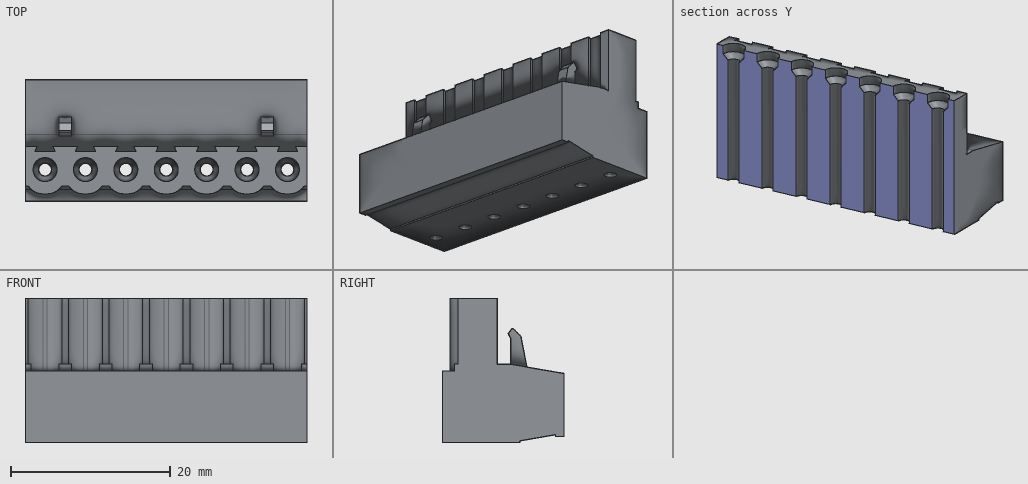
import cadquery as cq
import math


length = 35.45
depth = 15.3
height = 18.15

pole_count = 7
end_margin = 2.48
pitch = (length - 2 * end_margin) / (pole_count - 1)
pole_centers = [end_margin + i * pitch for i in range(pole_count)]

front_ledge_z = 9.05
rear_ledge_z = 9.9
slope_start_y = 8.45
back_top_z = 8.72
heel_bottom_z = 0.78
heel_y = 14.2
recess_back_z = 1.0
recess_front_y = 9.75
recess_front_z = 0.2

tower_back_y = 6.9
crest_y = 0.95
crest_flat = 0.53
valley_y = 1.95
valley_flat = 0.85

strip_front_y = 1.52

slot_mouth = 2.02
slot_floor = 2.55
slot_depth = 0.65

hole_y = 4.0
socket_diameter = 3.0
socket_depth = 1.15
bore_diameter = 1.6
cone_depth = 0.7

hook_width = 1.55
hook_front_y = 8.58
hook_root_y = 10.7
hook_root_z = 9.2
hook_shoulder = (9.9, 13.35)
hook_peak_back = (8.9, 14.35)
hook_peak_front = (8.75, 14.35)
hook_barb = (8.25, 13.72)
hook_neck_z = 13.15


def make_base():
    """Side profile of the base, extruded along the row."""
    profile = [
        (0, 0),
        (recess_front_y, 0),
        (recess_front_y, recess_front_z),
        (heel_y, recess_back_z),
        (heel_y, heel_bottom_z),
        (depth, heel_bottom_z),
        (depth, back_top_z),
        (slope_start_y, rear_ledge_z),
        (tower_back_y, rear_ledge_z),
        (tower_back_y, front_ledge_z),
        (0, front_ledge_z),
    ]
    return cq.Workplane("YZ").polyline(profile).close().extrude(length)


def make_tower():
    """Scalloped block: flat crests joined by arcs to the flats of the valleys."""
    half_flat = crest_flat / 2
    run = (pitch - valley_flat - crest_flat) / 2
    drop = valley_y - crest_y
    radius = (run**2 + drop**2) / (2 * drop)
    half_angle = math.asin(run / radius) / 2
    mid_run = radius * math.sin(half_angle)
    mid_y = crest_y + radius * (1 - math.cos(half_angle))

    outline = cq.Workplane("XY", origin=(0, 0, front_ledge_z))
    outline = outline.moveTo(0, tower_back_y).lineTo(0, valley_y)
    for x in pole_centers:
        left = x - half_flat
        right = x + half_flat
        outline = (
            outline.lineTo(left - run, valley_y)
            .threePointArc((left - mid_run, mid_y), (left, crest_y))
            .lineTo(right, crest_y)
            .threePointArc((right + mid_run, mid_y), (right + run, valley_y))
        )
    outline = outline.lineTo(length, valley_y).lineTo(length, tower_back_y).close()
    return outline.extrude(height - front_ledge_z)


def make_strip():
    """Low strip along the foot of the tower, showing only in the valleys."""
    size = (length, tower_back_y - strip_front_y, rear_ledge_z - front_ledge_z)
    return cq.Workplane("XY", origin=(0, strip_front_y, front_ledge_z)).box(*size, centered=False)


def make_slot(x):
    """Dovetail slot, open at the back and the top of the tower."""
    slot_floor_y = tower_back_y - slot_depth
    profile = [
        (x - slot_mouth / 2, tower_back_y),
        (x - slot_floor / 2, slot_floor_y),
        (x + slot_floor / 2, slot_floor_y),
        (x + slot_mouth / 2, tower_back_y),
    ]
    return (
        cq.Workplane("XY", origin=(0, 0, rear_ledge_z))
        .polyline(profile)
        .close()
        .extrude(height - rear_ledge_z)
    )


def make_hole(x):
    """Wide socket, then a cone down to a bore that passes through the base."""
    socket_radius = socket_diameter / 2
    bore_radius = bore_diameter / 2
    cone_top_z = height - socket_depth
    profile = [
        (0, 0),
        (bore_radius, 0),
        (bore_radius, cone_top_z - cone_depth),
        (socket_radius, cone_top_z),
        (socket_radius, height),
        (0, height),
    ]
    return (
        cq.Workplane("XZ")
        .polyline(profile)
        .close()
        .revolve(360, (0, 0, 0), (0, 1, 0))
        .translate((x, hole_y, 0))
    )


def make_hook(x):
    """Barbed latch hook centred on x, rooted in the sloping top of the base."""
    profile = [
        (hook_front_y, hook_root_z),
        (hook_root_y, hook_root_z),
        hook_shoulder,
        hook_peak_back,
        hook_peak_front,
        hook_barb,
        (hook_front_y, hook_neck_z),
    ]
    return (
        cq.Workplane("YZ", origin=(x - hook_width / 2, 0, 0))
        .polyline(profile)
        .close()
        .extrude(hook_width)
    )


result = make_base().union(make_tower()).union(make_strip())

hook_offset = end_margin + pitch / 2
for hook_x in (hook_offset, length - hook_offset):
    result = result.union(make_hook(hook_x))

for pole_x in pole_centers:
    result = result.cut(make_slot(pole_x)).cut(make_hole(pole_x))